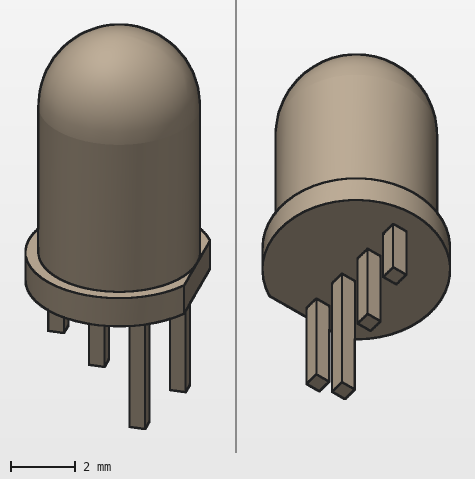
import cadquery as cq


total_height = 13.7
lens_diameter = 5.0
flange_diameter = 5.8
flange_thickness = 1.0

lead_width = 0.51
lead_pitch = 1.3
lead_lengths = [2.0, 3.0, 5.0, 3.5]

lens_radius = lens_diameter / 2
flange_radius = flange_diameter / 2
dome_base_z = total_height - max(lead_lengths) - lens_radius


def make_lens():
    """Solid of revolution: a cylinder capped by a hemisphere."""
    dome_mid = lens_radius * 0.5 ** 0.5
    half_profile = (
        cq.Workplane("XZ")
        .lineTo(lens_radius, 0)
        .lineTo(lens_radius, dome_base_z)
        .threePointArc((dome_mid, dome_base_z + dome_mid), (0, dome_base_z + lens_radius))
        .close()
    )
    return half_profile.revolve(360, (0, 0, 0), (0, 1, 0))


def make_flange():
    """Round base disc with a flat on the +X side, tangent to the lens."""
    disc = cq.Workplane("XY").circle(flange_radius).extrude(flange_thickness)
    flat_side = (
        cq.Workplane("XY")
        .box(flange_diameter, flange_diameter, flange_thickness, centered=(False, True, False))
        .translate((lens_radius, 0, 0))
    )
    return disc.cut(flat_side)


def make_lead(x, length):
    """Square lead hanging down from the underside of the flange."""
    return cq.Workplane("XY").center(x, 0).rect(lead_width, lead_width).extrude(-length)


result = make_flange().union(make_lens())
first_lead_x = -lead_pitch * (len(lead_lengths) - 1) / 2
for index, lead_length in enumerate(lead_lengths):
    result = result.union(make_lead(first_lead_x + index * lead_pitch, lead_length))